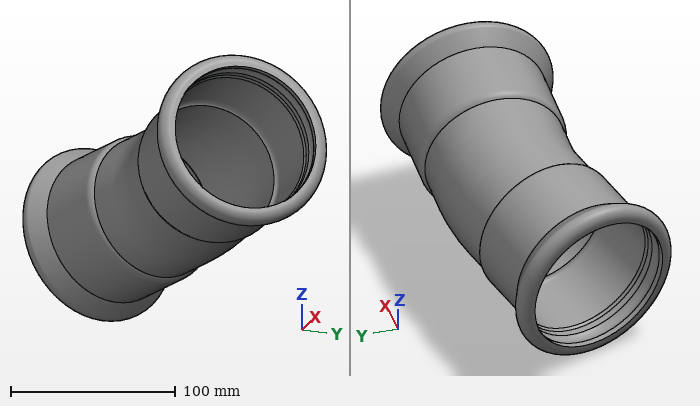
import cadquery as cq
import math

bend_angle = 15.0
bend_radius = 105.0
arm_length = 86.5

tube_radius = 88.9 / 2
tube_bore_radius = 84.9 / 2
socket_radius = 93.5 / 2
socket_bore_radius = 89.5 / 2
mouth_radius = 91.2 / 2

rim_radius = 109.0 / 2
bead_radius = 6.3
bead_end = 8.8
flare_end = 19.0
flare_bulge = 0.5

groove_start = 3.8
groove_end = 12.2
groove_depth = 1.3
lead_in_start = 16.5
lead_in_end = 18.7

shoulder_start = 60.0
shoulder_end = 65.1


def bead_point(angle):
    """Point (depth, radius) on the bead; 0 degrees is the outermost point, positive is inward."""
    turn = math.radians(angle)
    return (
        bead_radius * (1 + math.sin(turn)),
        rim_radius - bead_radius * (1 - math.cos(turn)),
    )


def shoulder_arc(start_radius, end_radius, arc_radius):
    """Middle and end points of an arc that leaves the socket wall tangentially."""
    drop = start_radius - end_radius
    sweep = math.acos(1 - drop / arc_radius)
    points = []
    for turn in (sweep / 2, sweep):
        depth = shoulder_start + arc_radius * math.sin(turn)
        points.append((depth, start_radius - arc_radius * (1 - math.cos(turn))))
    return points


def make_arm():
    """One socket arm revolved about X, mouth face at x = 0, tube end at x = arm_length."""
    bead_end_angle = math.degrees(math.asin(bead_end / bead_radius - 1))
    shoulder_length = shoulder_end - shoulder_start
    shoulder_drop = socket_radius - tube_radius
    outer_arc_radius = (shoulder_length**2 + shoulder_drop**2) / (2 * shoulder_drop)
    inner_arc_radius = outer_arc_radius - (socket_radius - socket_bore_radius)
    outer_middle, outer_end = shoulder_arc(socket_radius, tube_radius, outer_arc_radius)
    inner_middle, inner_end = shoulder_arc(socket_bore_radius, tube_bore_radius, inner_arc_radius)
    bead_end_depth, bead_end_radius = bead_point(bead_end_angle)
    flare_middle = (
        (bead_end_depth + flare_end) / 2,
        (bead_end_radius + socket_radius) / 2 + flare_bulge,
    )
    groove_peak = ((groove_start + groove_end) / 2, mouth_radius + groove_depth)

    profile = (
        cq.Workplane("XY")
        .moveTo(0, mouth_radius)
        .lineTo(*bead_point(-90))
        .threePointArc(bead_point(-45), (bead_end_depth, bead_end_radius))
        .threePointArc(flare_middle, (flare_end, socket_radius))
        .lineTo(shoulder_start, socket_radius)
        .threePointArc(outer_middle, outer_end)
        .lineTo(arm_length, tube_radius)
        .lineTo(arm_length, tube_bore_radius)
        .lineTo(*inner_end)
        .threePointArc(inner_middle, (shoulder_start, socket_bore_radius))
        .lineTo(lead_in_end, socket_bore_radius)
        .lineTo(lead_in_start, mouth_radius)
        .lineTo(groove_end, mouth_radius)
        .threePointArc(groove_peak, (groove_start, mouth_radius))
        .close()
    )
    return profile.revolve(360, (0, 0, 0), (1, 0, 0))


def make_bend():
    """Curved tube from the origin, heading toward -X and turning toward -Y."""
    return (
        cq.Workplane("YZ")
        .circle(tube_radius)
        .circle(tube_bore_radius)
        .revolve(bend_angle, (-bend_radius, 0, 0), (-bend_radius, 1, 0))
    )


arm = make_arm()
right_arm = arm.mirror("YZ").translate((arm_length, 0, 0))
left_arm = arm.translate((-arm_length, 0, 0)).rotate(
    (0, -bend_radius, 0), (0, -bend_radius, 1), bend_angle
)
result = right_arm.union(make_bend()).union(left_arm)